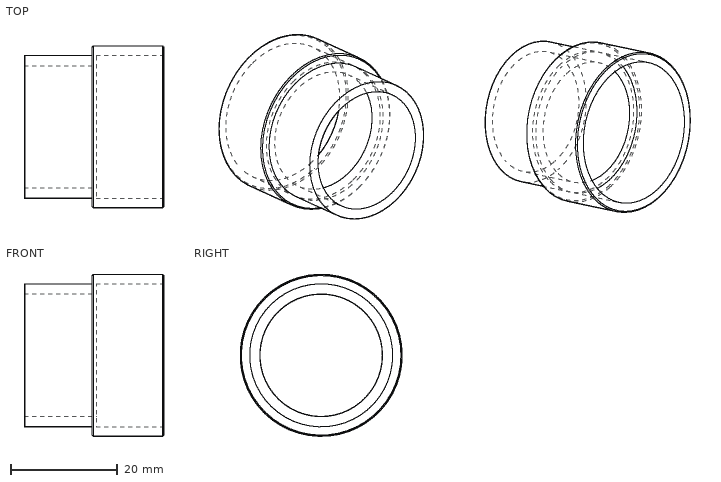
import cadquery as cq

total_length = 26.15
collar_diameter = 30.48
collar_length = 13.5
spigot_diameter = 26.88
bore_diameter = 22.98
collar_chamfer = 0.25

spigot_length = total_length - collar_length
socket_diameter = spigot_diameter
socket_depth = spigot_length


def cylinder_along_x(start, length, diameter):
    return cq.Workplane("YZ").workplane(offset=start).circle(diameter / 2).extrude(length)


collar = cylinder_along_x(spigot_length, collar_length, collar_diameter)
collar = collar.edges("%CIRCLE").chamfer(collar_chamfer)

spigot = cylinder_along_x(0, spigot_length, spigot_diameter)

bore = cylinder_along_x(0, total_length, bore_diameter)

socket = cylinder_along_x(total_length - socket_depth, socket_depth, socket_diameter)

result = collar.union(spigot).cut(bore).cut(socket)